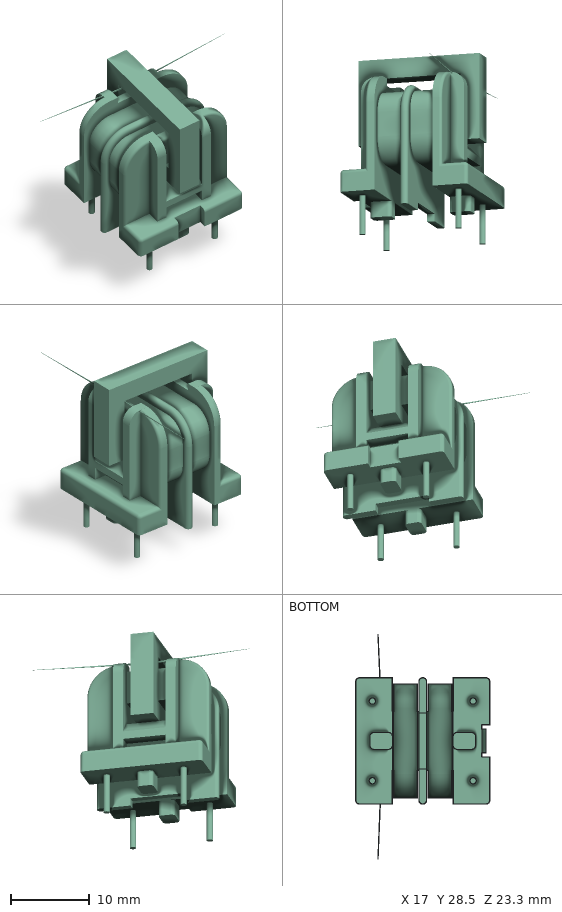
import cadquery as cq


SIDES = (-1, 1)

AXIS_Z = 8.6
WINDOW_WIDTH = 5.53
WINDOW_HEIGHT = 2.9
TUBE_WIDTH = 7.47
TUBE_HEIGHT = 5.25

BOBBIN_WIDTH = 16.03
FLANGE_INNER_X = 3.85
FLANGE_OUTER_X = 5.08
FLANGE_TOP_Z = 15.45
FLANGE_CORNER_RADIUS = 4.0
FLANGE_EDGE_RADIUS = 0.35
DIP_DEPTH = 0.95

POST_OUTER_X = 6.85
POST_WIDTH = 1.37
POST_CENTER_Y = (WINDOW_WIDTH + POST_WIDTH) / 2
POST_ROUND_RADIUS = POST_OUTER_X - FLANGE_OUTER_X
SILL_TOP_Z = AXIS_Z - WINDOW_HEIGHT / 2
SILL_HEIGHT = 2.6
SILL_CHAMFER = 1.57

BASE_OUTER_X = 8.5
BASE_HEIGHT = 2.88
EDGE_RADIUS = 0.48
FOOT_DEPTH = 2.02
BOSS_OUTER_X = 6.7
BOSS_WIDTH = 2.15
BOSS_CORNER_RADIUS = 0.5
PIN_DIAMETER = 0.8
PIN_LENGTH = 5.05
PIN_X = 6.4
PIN_Y = 5.05
NOTCH_WIDTH = 4.05
NOTCH_DEPTH = 1.0

DIVIDER_THICKNESS = 1.0
DIVIDER_TOP_Z = 14.03
DIVIDER_CORNER_RADIUS = 4.05
DIVIDER_EDGE_RADIUS = 0.48
DIVIDER_NOTCH_WIDTH = 7.07
DIVIDER_NOTCH_HEIGHT = 0.97

STRAND_THICKNESS = 0.09
STRAND_HEIGHT = 0.25
STRAND_TIP_SIZE = 0.03
STRAND_MIDDLE_Z = 15.23
STRAND_TIP_X = 5.68
STRAND_TIP_Z = 15.63
STRAND_BACK_Y = 15.0
STRAND_FRONT_Y = -13.52

WINDING_INNER_X = 0.68
WINDING_OUTER_X = 3.68
WINDING_WIDTH = 14.5
WINDING_HEIGHT = 9.25
WINDING_CORNER_RADIUS = 3.02

CORE_OUTER_X = 8.05
CORE_WIDTH = 3.02
CORE_BAR = 2.5
CORE_BOTTOM_Z = 7.22
CORE_TOP_Z = 18.28


def block(x_start, x_end, y_width, z_start, z_end):
    """A box centred on Y = 0."""
    return cq.Workplane("XY").box(
        x_end - x_start, y_width, z_end - z_start, centered=(False, True, False)
    ).translate((x_start, 0, z_start))


def rounded_plate(x_start, x_end, z_start, z_end, corner_radius):
    """An upright plate across X whose two top corners are rounded."""
    plate = block(x_start, x_end, BOBBIN_WIDTH, z_start, z_end)
    return plate.edges("|X and >Z").fillet(corner_radius)


def flange():
    """End plate with a dip in its top edge and a rounded outer edge."""
    plate = rounded_plate(FLANGE_INNER_X, FLANGE_OUTER_X, 0, FLANGE_TOP_Z, FLANGE_CORNER_RADIUS)
    plate = plate.faces(">X").edges("not(<Z)").fillet(FLANGE_EDGE_RADIUS)
    dip_floor_z = FLANGE_TOP_Z - DIP_DEPTH
    plate = plate.cut(block(FLANGE_INNER_X, FLANGE_OUTER_X, WINDOW_WIDTH, dip_floor_z, FLANGE_TOP_Z))
    dip_edge = cq.selectors.NearestToPointSelector((FLANGE_OUTER_X, 0, dip_floor_z))
    return plate.edges(dip_edge).fillet(FLANGE_EDGE_RADIUS)


def post(center_y):
    """Guide post with a quarter-round top."""
    bar = block(FLANGE_INNER_X, POST_OUTER_X, POST_WIDTH, 0, FLANGE_TOP_Z)
    return bar.edges(">X and >Z").fillet(POST_ROUND_RADIUS).translate((0, center_y, 0))


def sill():
    """Cross bar between the posts, sloping down and outwards from the window floor."""
    bar = block(FLANGE_INNER_X, POST_OUTER_X, WINDOW_WIDTH, SILL_TOP_Z - SILL_HEIGHT, SILL_TOP_Z)
    return bar.edges(">X and >Z").chamfer(SILL_CHAMFER)


def base():
    """Foot block with rounded outer corners and top edges."""
    body = block(FLANGE_INNER_X, BASE_OUTER_X, BOBBIN_WIDTH, 0, BASE_HEIGHT)
    body = body.edges("|Z and >X").fillet(EDGE_RADIUS)
    return body.faces(">Z").edges("not(<X)").fillet(EDGE_RADIUS)


def boss():
    """Rounded standoff under the base."""
    body = block(FLANGE_INNER_X, BOSS_OUTER_X, BOSS_WIDTH, -FOOT_DEPTH, 0)
    return body.edges("|Z").fillet(BOSS_CORNER_RADIUS)


def pins():
    """Two round terminals under the base."""
    points = [(PIN_X, -PIN_Y), (PIN_X, PIN_Y)]
    return cq.Workplane("XY").pushPoints(points).circle(PIN_DIAMETER / 2).extrude(-PIN_LENGTH)


def bobbin_end():
    """The +X end of the bobbin."""
    end = base().union(flange()).union(sill()).union(boss()).union(pins())
    for side in SIDES:
        end = end.union(post(side * POST_CENTER_Y))
    return end


def divider():
    """Central plate with rounded sides and top, notched at the bottom."""
    half = DIVIDER_THICKNESS / 2
    plate = rounded_plate(-half, half, -FOOT_DEPTH, DIVIDER_TOP_Z, DIVIDER_CORNER_RADIUS)
    plate = plate.faces("<X or >X").edges("not(<Z)").fillet(DIVIDER_EDGE_RADIUS)
    notch = block(-half, half, DIVIDER_NOTCH_WIDTH, -FOOT_DEPTH, -FOOT_DEPTH + DIVIDER_NOTCH_HEIGHT)
    return plate.cut(notch)


def strand_half(tip_y):
    """Half of the thin strand, from the middle of the -X flange to one tip."""
    middle = cq.Vector(-FLANGE_OUTER_X, 0, STRAND_MIDDLE_Z)
    tip = cq.Vector(-STRAND_TIP_X, tip_y, STRAND_TIP_Z)
    across = cq.Vector(1, 0, 0)
    along = cq.Vector(0, 1, 0)
    middle_plane = cq.Plane(middle, across, along)
    tip_plane = cq.Plane(tip, across, along)
    middle_wire = cq.Workplane(middle_plane).rect(STRAND_THICKNESS, STRAND_HEIGHT).val()
    tip_wire = cq.Workplane(tip_plane).rect(STRAND_TIP_SIZE, STRAND_TIP_SIZE).val()
    return cq.Workplane(obj=cq.Solid.makeLoft([middle_wire, tip_wire], True))


def bobbin():
    """Tube, two ends, divider and strand in one solid."""
    end = bobbin_end()
    notch = block(BASE_OUTER_X - NOTCH_DEPTH, BASE_OUTER_X, NOTCH_WIDTH, 0, BASE_HEIGHT)
    tube_z = AXIS_Z - TUBE_HEIGHT / 2
    body = block(-FLANGE_INNER_X, FLANGE_INNER_X, TUBE_WIDTH, tube_z, tube_z + TUBE_HEIGHT)
    body = body.union(end.cut(notch)).union(end.mirror("YZ")).union(divider())
    window = block(-POST_OUTER_X, POST_OUTER_X, WINDOW_WIDTH, SILL_TOP_Z, SILL_TOP_Z + WINDOW_HEIGHT)
    body = body.cut(window)
    for tip_y in (STRAND_FRONT_Y, STRAND_BACK_Y):
        body = body.union(strand_half(tip_y))
    return body


def winding(side):
    """Rounded coil around the tube, on the given side of the divider."""
    coil = cq.Workplane("YZ", origin=(WINDING_INNER_X, 0, AXIS_Z))
    coil = coil.rect(WINDING_WIDTH, WINDING_HEIGHT).extrude(WINDING_OUTER_X - WINDING_INNER_X)
    coil = coil.edges("|X").fillet(WINDING_CORNER_RADIUS)
    coil = coil.faces(">X").workplane(origin=(0, 0, AXIS_Z)).rect(TUBE_WIDTH, TUBE_HEIGHT).cutThruAll()
    return coil if side > 0 else coil.mirror("YZ")


def core_half(side):
    """U-shaped core half that meets the other half at X = 0."""
    body = block(0, CORE_OUTER_X, CORE_WIDTH, CORE_BOTTOM_Z, CORE_TOP_Z)
    opening_end_x = CORE_OUTER_X - CORE_BAR
    opening = block(0, opening_end_x, CORE_WIDTH, CORE_BOTTOM_Z + CORE_BAR, CORE_TOP_Z - CORE_BAR)
    body = body.cut(opening)
    return body if side > 0 else body.mirror("YZ")


windings = [winding(side).val() for side in SIDES]
core_halves = [core_half(side).val() for side in SIDES]
result = cq.Compound.makeCompound([bobbin().val(), *windings, *core_halves])